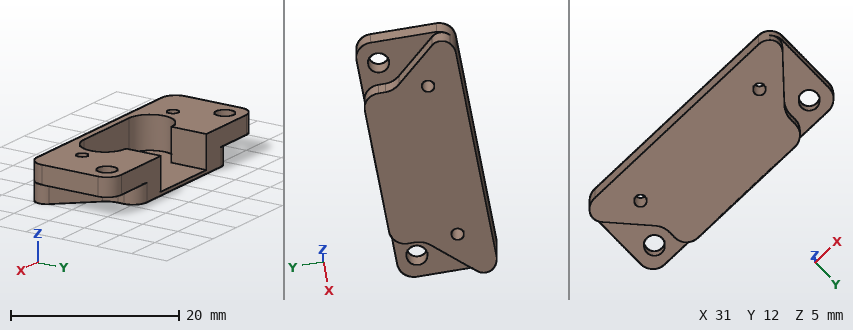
import cadquery as cq
import math

LENGTH = 31.0
WIDTH = 12.0
HEIGHT = 5.0
CORNER_RADIUS = 2.0

POCKET_LENGTH = 15.78
POCKET_WIDTH = 6.0
POCKET_Y = -1.98
CHANNEL_WIDTH = 9.83
FLOOR_THICKNESS = 0.5

BOLT_DIAMETER = 2.5
BOLT_SPACING = 25.48
BOLT_Y = 3.47
PIN_DIAMETER = 1.5
PIN_SPACING = 19.6

UNDERCUT_HEIGHT = 2.48
SLANT_ANGLE = math.radians(42)
NOSE_RADIUS = 1.5
NOSE_START_ANGLE = math.radians(-48)
SLANT_END_Y = 1.43
HOLLOW_END_Y = 3.2
BACK_RADIUS = 1.95

EAR_X = LENGTH / 2
BACK_Y = WIDTH / 2


def body():
    block = cq.Workplane("XY").box(LENGTH, WIDTH, HEIGHT, centered=(True, True, False))
    return block.edges("|Z").fillet(CORNER_RADIUS)


def pocket():
    depth = HEIGHT - FLOOR_THICKNESS
    floor = cq.Workplane("XY").workplane(offset=FLOOR_THICKNESS)
    obround = floor.center(0, POCKET_Y).slot2D(POCKET_LENGTH, POCKET_WIDTH).extrude(depth)
    channel_length = BACK_Y - POCKET_Y
    channel = (
        floor.center(0, POCKET_Y + channel_length / 2)
        .rect(CHANNEL_WIDTH, channel_length)
        .extrude(depth)
    )
    return obround.union(channel)


def hole_pair(spacing, y, diameter):
    centres = [(-spacing / 2, y), (spacing / 2, y)]
    return cq.Workplane("XY").pushPoints(centres).circle(diameter / 2).extrude(HEIGHT)


def arc_point(centre, radius, angle):
    return (centre[0] + radius * math.cos(angle), centre[1] + radius * math.sin(angle))


def undercut():
    """Space below the +X ear, outside the waisted outline of the foot."""
    corner_centre = (EAR_X - CORNER_RADIUS, CORNER_RADIUS - BACK_Y)
    nose_centre = arc_point(corner_centre, CORNER_RADIUS - NOSE_RADIUS, NOSE_START_ANGLE)
    nose_start = arc_point(nose_centre, NOSE_RADIUS, NOSE_START_ANGLE)
    nose_end = arc_point(nose_centre, NOSE_RADIUS, SLANT_ANGLE)

    slant_rise = SLANT_END_Y - nose_end[1]
    slant_end = (nose_end[0] - slant_rise * math.tan(SLANT_ANGLE), SLANT_END_Y)
    hollow_radius = (HOLLOW_END_Y - SLANT_END_Y) / math.sin(SLANT_ANGLE)
    hollow_centre = (slant_end[0] + hollow_radius * math.cos(SLANT_ANGLE), HOLLOW_END_Y)
    wall_x = hollow_centre[0] - hollow_radius
    back_centre = (wall_x - BACK_RADIUS, BACK_Y - BACK_RADIUS)

    return (
        cq.Workplane("XY")
        .moveTo(*nose_start)
        .threePointArc(arc_point(nose_centre, NOSE_RADIUS, 0), nose_end)
        .lineTo(*slant_end)
        .threePointArc(
            arc_point(hollow_centre, hollow_radius, math.pi + SLANT_ANGLE / 2),
            (wall_x, HOLLOW_END_Y),
        )
        .lineTo(wall_x, back_centre[1])
        .threePointArc(
            arc_point(back_centre, BACK_RADIUS, math.pi / 4),
            (back_centre[0], BACK_Y),
        )
        .lineTo(EAR_X, BACK_Y)
        .lineTo(EAR_X, nose_start[1])
        .close()
        .extrude(UNDERCUT_HEIGHT)
    )


result = body().cut(pocket())
result = result.cut(hole_pair(BOLT_SPACING, BOLT_Y, BOLT_DIAMETER))
result = result.cut(hole_pair(PIN_SPACING, POCKET_Y, PIN_DIAMETER))
right_undercut = undercut()
result = result.cut(right_undercut).cut(right_undercut.mirror("YZ"))